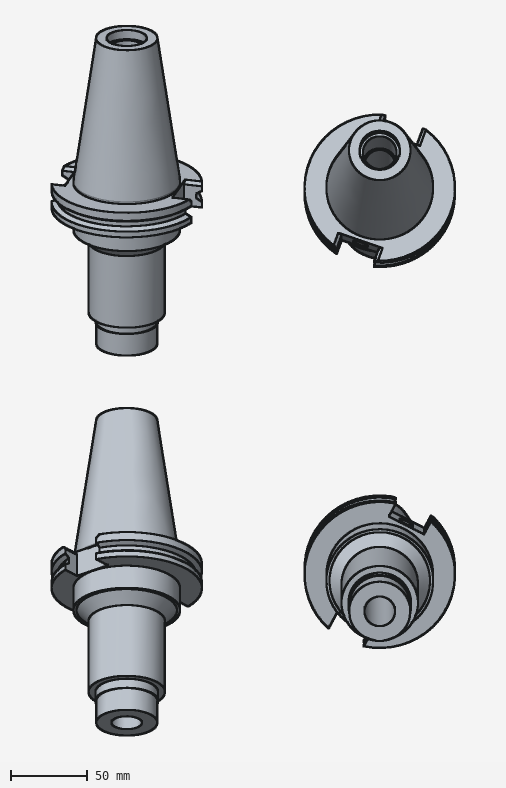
import cadquery as cq
import math

OVERALL_LENGTH = 217.6

GAUGE_DIAMETER = 69.85
TAPER_LENGTH = 101.6
TAPER_RATIO = 7 / 24

FLANGE_DIAMETER = 98.425
FLANGE_TOP_Z = -1.5
FLANGE_BOTTOM_Z = -19.05
GROOVE_FLOOR_DIAMETER = 91.0
GROOVE_FLOOR_WIDTH = 3.4
GROOVE_CENTER_Z = -11.1
GROOVE_FLANK_ANGLE = 30.0

SLOT_WIDTH = 25.9
SLOT_FLOOR_LEFT = 37.7
SLOT_FLOOR_RIGHT = 35.3
SLOT_CHAMFER = 2.4
DIMPLE_DIAMETER = 10.0
DIMPLE_DEPTH = 0.3

COLLAR_BOTTOM_Z = -35.0
CONE_TOP_DIAMETER = 65.7
BODY_DIAMETER = 50.0
BODY_LENGTH = 51.0
NECK_DIAMETER = 41.0
NECK_LENGTH = 6.5
NOSE_DIAMETER = 40.0

COUNTERBORE_DIAMETER = 26.3
COUNTERBORE_DEPTH = 6.5
UPPER_BORE_DIAMETER = 22.0
UPPER_BORE_DEPTH = 40.0
BORE_DIAMETER = 20.0

taper_tip_diameter = GAUGE_DIAMETER - TAPER_LENGTH * TAPER_RATIO
cone_bottom_z = COLLAR_BOTTOM_Z - (CONE_TOP_DIAMETER - BODY_DIAMETER) / 2
body_bottom_z = cone_bottom_z - BODY_LENGTH
neck_bottom_z = body_bottom_z - NECK_LENGTH
nose_bottom_z = TAPER_LENGTH - OVERALL_LENGTH


def turned_body():
    """Solid of revolution: taper, grooved flange, collar, cone, body and nose."""
    groove_depth = (FLANGE_DIAMETER - GROOVE_FLOOR_DIAMETER) / 2
    flank_height = groove_depth * math.tan(math.radians(GROOVE_FLANK_ANGLE))
    half_floor = GROOVE_FLOOR_WIDTH / 2
    half_mouth = half_floor + flank_height
    diameter_and_z = [
        (0, TAPER_LENGTH),
        (taper_tip_diameter, TAPER_LENGTH),
        (GAUGE_DIAMETER, 0),
        (GAUGE_DIAMETER, FLANGE_TOP_Z),
        (FLANGE_DIAMETER, FLANGE_TOP_Z),
        (FLANGE_DIAMETER, GROOVE_CENTER_Z + half_mouth),
        (GROOVE_FLOOR_DIAMETER, GROOVE_CENTER_Z + half_floor),
        (GROOVE_FLOOR_DIAMETER, GROOVE_CENTER_Z - half_floor),
        (FLANGE_DIAMETER, GROOVE_CENTER_Z - half_mouth),
        (FLANGE_DIAMETER, FLANGE_BOTTOM_Z),
        (GAUGE_DIAMETER, FLANGE_BOTTOM_Z),
        (GAUGE_DIAMETER, COLLAR_BOTTOM_Z),
        (CONE_TOP_DIAMETER, COLLAR_BOTTOM_Z),
        (BODY_DIAMETER, cone_bottom_z),
        (BODY_DIAMETER, body_bottom_z),
        (NECK_DIAMETER, body_bottom_z),
        (NECK_DIAMETER, neck_bottom_z),
        (NOSE_DIAMETER, neck_bottom_z),
        (NOSE_DIAMETER, nose_bottom_z),
        (0, nose_bottom_z),
    ]
    profile = [(diameter / 2, z) for diameter, z in diameter_and_z]
    return cq.Workplane("YZ").polyline(profile).close().revolve(360, (0, 0), (0, 1))


def drive_slot(floor_distance, side):
    """Cutter for one slot, chamfered at the flange top; side is +1 for +X, -1 for -X."""
    half_width = SLOT_WIDTH / 2
    half_mouth = half_width + SLOT_CHAMFER
    chamfer_z = FLANGE_TOP_Z - SLOT_CHAMFER
    section = [
        (-half_width, FLANGE_BOTTOM_Z),
        (half_width, FLANGE_BOTTOM_Z),
        (half_width, chamfer_z),
        (half_mouth, FLANGE_TOP_Z),
        (-half_mouth, FLANGE_TOP_Z),
        (-half_width, chamfer_z),
    ]
    slot_depth = FLANGE_DIAMETER / 2 - floor_distance
    return (
        cq.Workplane("YZ", origin=(side * floor_distance, 0, 0))
        .polyline(section)
        .close()
        .extrude(side * slot_depth)
    )


def slot_dimple():
    """Cutter for the round recess in the floor of the -X slot."""
    return (
        cq.Workplane("YZ", origin=(-SLOT_FLOOR_LEFT, 0, GROOVE_CENTER_Z))
        .circle(DIMPLE_DIAMETER / 2)
        .extrude(DIMPLE_DEPTH)
    )


def axial_bore():
    """Cutter for the stepped through bore, widest at the taper tip."""
    top = cq.Workplane("XY", origin=(0, 0, TAPER_LENGTH))
    through = top.circle(BORE_DIAMETER / 2).extrude(nose_bottom_z - TAPER_LENGTH)
    upper = top.circle(UPPER_BORE_DIAMETER / 2).extrude(-UPPER_BORE_DEPTH)
    counterbore = top.circle(COUNTERBORE_DIAMETER / 2).extrude(-COUNTERBORE_DEPTH)
    return through.union(upper).union(counterbore)


result = (
    turned_body()
    .cut(drive_slot(SLOT_FLOOR_LEFT, -1))
    .cut(drive_slot(SLOT_FLOOR_RIGHT, 1))
    .cut(slot_dimple())
    .cut(axial_bore())
)